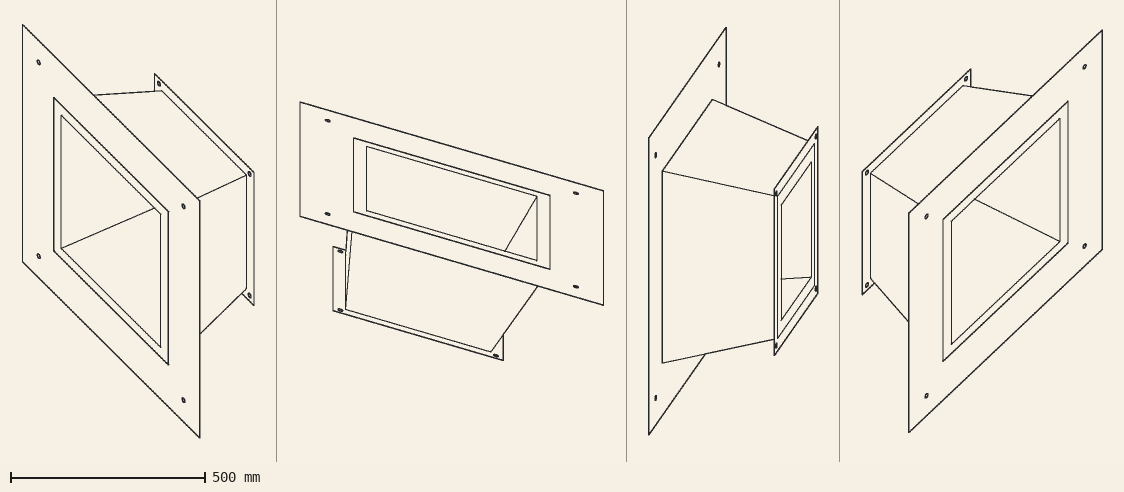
import cadquery as cq

TOTAL_DEPTH = 290.0
SHEET_THICKNESS = 1.0
HOLE_DIAMETER = 13.0

PLATE_SIZE = 820.0
PLATE_HOLE_EDGE_DISTANCE = 75.0

DUCT_FRONT_OUTER = 530.0
DUCT_REAR_OUTER = 392.5
DUCT_FRONT_INNER = 460.2
DUCT_REAR_INNER = 318.0

FLANGE_SIZE = 460.0
FLANGE_HOLE_EDGE_DISTANCE = 20.0

FRONT_Y = 0.0
PLATE_REAR_Y = FRONT_Y + SHEET_THICKNESS
REAR_Y = FRONT_Y + TOTAL_DEPTH
FLANGE_FRONT_Y = REAR_Y - SHEET_THICKNESS


def plane_at(y):
    """Sketch plane across the duct axis whose extrusions run toward +Y."""
    return cq.Workplane(cq.Plane(origin=(0, y, 0), xDir=(-1, 0, 0), normal=(0, 1, 0)))


def square_slab(size, start_y, end_y):
    return plane_at(start_y).rect(size, size).extrude(end_y - start_y)


def square_frustum(start_size, end_size, start_y, end_y):
    """Square section that tapers evenly from one end to the other."""
    return (
        plane_at(start_y)
        .rect(start_size, start_size)
        .workplane(offset=end_y - start_y)
        .rect(end_size, end_size)
        .loft(ruled=True)
    )


def corner_holes(slab_size, edge_distance, start_y):
    """Drills for one hole near each corner of a sheet metal square."""
    pitch = slab_size - 2 * edge_distance
    return (
        plane_at(start_y)
        .rect(pitch, pitch, forConstruction=True)
        .vertices()
        .circle(HOLE_DIAMETER / 2)
        .extrude(SHEET_THICKNESS)
    )


def make_mounting_plate():
    """Flat plate with a square window that the front end of the duct fills."""
    plate = square_slab(PLATE_SIZE, FRONT_Y, PLATE_REAR_Y)
    window = square_slab(DUCT_FRONT_OUTER, FRONT_Y, PLATE_REAR_Y)
    holes = corner_holes(PLATE_SIZE, PLATE_HOLE_EDGE_DISTANCE, FRONT_Y)
    return plate.cut(window).cut(holes)


def make_duct():
    """Thick-walled tapered duct with its rear flange."""
    neck = square_slab(DUCT_FRONT_OUTER, FRONT_Y, PLATE_REAR_Y)
    taper = square_frustum(DUCT_FRONT_OUTER, DUCT_REAR_OUTER, PLATE_REAR_Y, FLANGE_FRONT_Y)
    flange = square_slab(FLANGE_SIZE, FLANGE_FRONT_Y, REAR_Y)
    flange_holes = corner_holes(FLANGE_SIZE, FLANGE_HOLE_EDGE_DISTANCE, FLANGE_FRONT_Y)
    passage = square_frustum(DUCT_FRONT_INNER, DUCT_REAR_INNER, FRONT_Y, REAR_Y)
    return neck.union(taper).union(flange).cut(flange_holes).cut(passage)


mounting_plate = make_mounting_plate()
duct = make_duct()

result = cq.Compound.makeCompound([mounting_plate.val(), duct.val()])